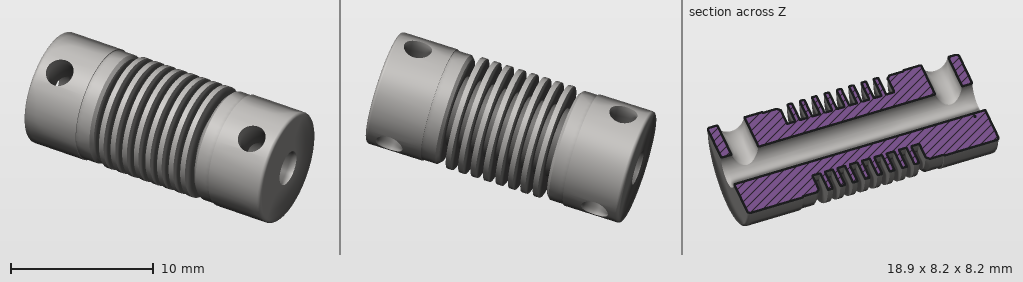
import cadquery as cq

length = 18.86
outer_diameter = 8.2
bore_diameter = 2.5

hub_length = 4.15
hub_edge_radius = 0.23
collar_length = 1.28
collar_diameter = 8.03
collar_chamfer = 0.23

core_diameter = 5.0
fin_count = 8
fin_thickness = 0.38
fin_pitch = 0.92

screw_diameter = 2.0
screw_end_distance = 1.8
screw_angles = (0, 120)

half_length = length / 2


def disc(start_x, thickness, diameter):
    """Solid cylinder along +X, starting at start_x."""
    return cq.Workplane("YZ", origin=(start_x, 0, 0)).circle(diameter / 2).extrude(thickness)


def left_hub():
    """Hub with a rounded outer end and a smaller, chamfered collar facing the fins."""
    hub = disc(-half_length, hub_length, outer_diameter).faces("<X").edges().fillet(hub_edge_radius)
    collar = disc(hub_length - half_length, collar_length, collar_diameter)
    collar = collar.faces(">X").edges().chamfer(collar_chamfer)
    return hub.union(collar)


def screw_hole(center_x, angle):
    """Cutter running radially outwards from the axis at the given angle."""
    cutter = cq.Workplane("XZ", origin=(center_x, 0, 0)).circle(screw_diameter / 2).extrude(-outer_diameter)
    return cutter.rotate((0, 0, 0), (1, 0, 0), angle)


hub = left_hub()
result = disc(hub_length - half_length, length - 2 * hub_length, core_diameter)
result = result.union(hub).union(hub.mirror("YZ"))

for index in range(fin_count):
    fin_center = (index - (fin_count - 1) / 2) * fin_pitch
    result = result.union(disc(fin_center - fin_thickness / 2, fin_thickness, outer_diameter))

result = result.cut(disc(-half_length, length, bore_diameter))

for side in (-1, 1):
    for angle in screw_angles:
        result = result.cut(screw_hole(side * (half_length - screw_end_distance), angle))